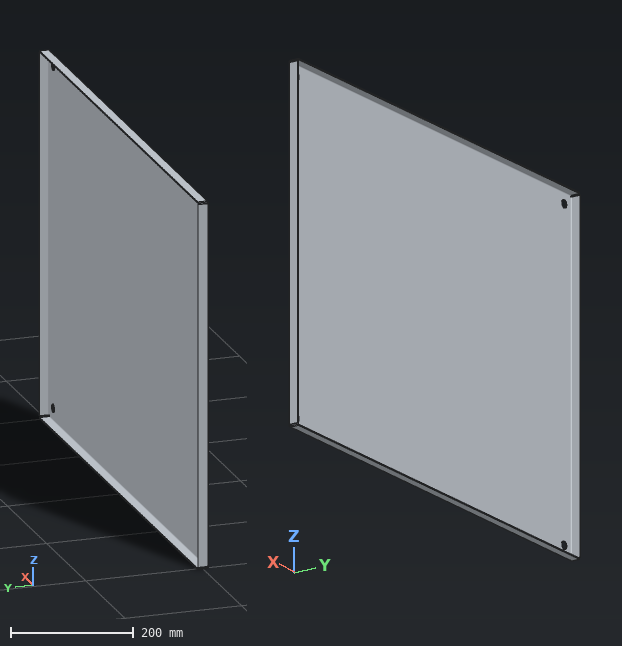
import cadquery as cq

width = 813.0
depth = 19.0
height = 631.5
sheet = 2.0
bend_radius = 4.0
side_flange_inset = 4.0
end_flange_inset = 2.5
hole_diameter = 14.0
hole_edge_x = 22.0
hole_edge_z = 22.0

front = -depth / 2


def channel(across, length):
    """Front sheet with a folded flange on both long edges, extruded along Z."""
    outer = (
        cq.Workplane("XY")
        .box(across, depth, length)
        .edges("|Z and <Y")
        .fillet(bend_radius)
    )
    inner = (
        cq.Workplane("XY")
        .box(across - 2 * sheet, depth, length)
        .translate((0, sheet, 0))
        .edges("|Z and <Y")
        .fillet(bend_radius - sheet)
    )
    return outer.cut(inner)


def flat_sheet():
    """Flat front face, bounded by the four bend lines."""
    return (
        cq.Workplane("XY")
        .box(width - 2 * bend_radius, sheet, height - 2 * bend_radius)
        .translate((0, front + sheet / 2, 0))
    )


def flange_pair(across, length):
    """The two flanges and their bends, without the flat sheet between them."""
    flat_zone = cq.Workplane("XY").box(across - 2 * bend_radius, 2 * depth, length)
    return channel(across, length).cut(flat_zone)


side_flanges = flange_pair(width, height - 2 * side_flange_inset)
end_flanges = flange_pair(height, width - 2 * end_flange_inset).rotate((0, 0, 0), (0, 1, 0), 90)
panel = flat_sheet().union(side_flanges).union(end_flanges)

holes = (
    cq.Workplane("XZ")
    .rect(width - 2 * hole_edge_x, height - 2 * hole_edge_z, forConstruction=True)
    .vertices()
    .circle(hole_diameter / 2)
    .extrude(depth, both=True)
)
result = panel.cut(holes)